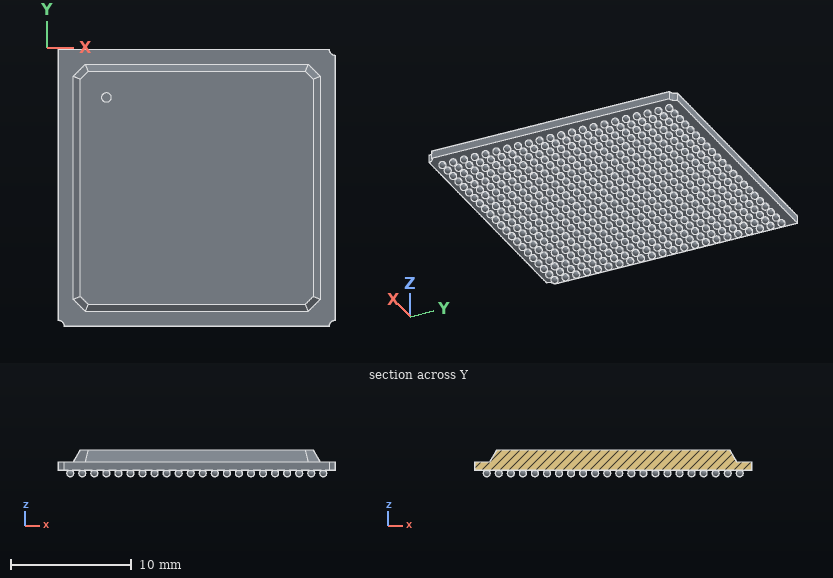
import cadquery as cq

board_side = 23.0
board_thickness = 0.7
notch_radius = 0.5
notched_corners = [(1, 1), (1, -1), (-1, -1)]

overall_height = 2.25
cap_margin = 1.25
cap_corner_chamfer = 1.0
cap_draft = 30.0

mark_diameter = 0.8
mark_depth = 0.1
mark_inset = 4.0

ball_rows = 22
ball_pitch = 1.0
ball_diameter = 0.6
ball_drop = 0.55

board_bottom = ball_drop
board_top = board_bottom + board_thickness
cap_side = board_side - 2 * cap_margin
cap_height = overall_height - board_top


def make_board():
    board = (
        cq.Workplane("XY")
        .workplane(offset=board_bottom)
        .rect(board_side, board_side)
        .extrude(board_thickness)
    )
    half = board_side / 2
    corners = [(sx * half, sy * half) for sx, sy in notched_corners]
    notches = (
        cq.Workplane("XY")
        .workplane(offset=board_bottom)
        .pushPoints(corners)
        .circle(notch_radius)
        .extrude(board_thickness)
    )
    return board.cut(notches)


def make_cap():
    half = cap_side / 2
    flat = half - cap_corner_chamfer
    outline = [
        (half, -flat),
        (half, flat),
        (flat, half),
        (-flat, half),
        (-half, flat),
        (-half, -flat),
        (-flat, -half),
        (flat, -half),
    ]
    return (
        cq.Workplane("XY")
        .workplane(offset=board_top)
        .polyline(outline)
        .close()
        .extrude(cap_height, taper=cap_draft)
    )


def make_mark():
    offset = board_side / 2 - mark_inset
    return (
        cq.Workplane("XY")
        .workplane(offset=overall_height - mark_depth)
        .center(-offset, offset)
        .circle(mark_diameter / 2)
        .extrude(mark_depth)
    )


def make_balls():
    radius = ball_diameter / 2
    ball = cq.Workplane("YZ").sphere(radius).val()
    first = -(ball_rows - 1) * ball_pitch / 2
    balls = []
    for column in range(ball_rows):
        for row in range(ball_rows):
            x = first + column * ball_pitch
            y = first + row * ball_pitch
            balls.append(ball.moved(cq.Location(cq.Vector(x, y, radius))))
    return balls


body = make_board().union(make_cap()).cut(make_mark())
result = cq.Workplane(body.val().fuse(*make_balls()))